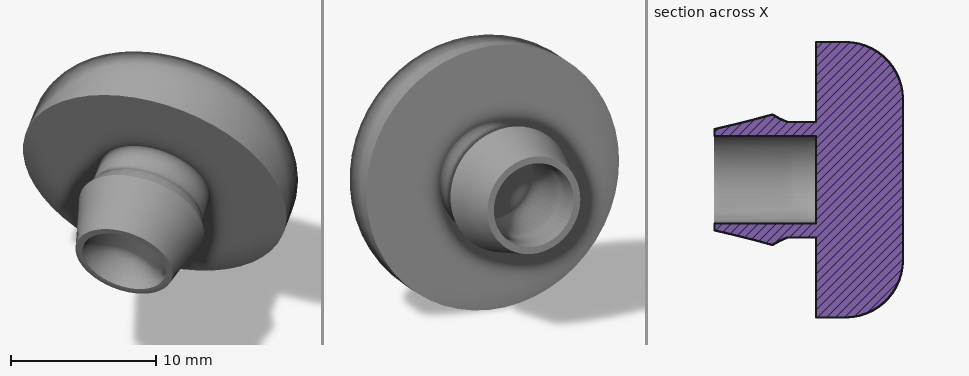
import cadquery as cq

head_diameter = 19.0
head_rim_height = 2.0
head_edge_radius = 4.0
neck_diameter = 8.0
neck_length = 2.0
barb_diameter = 9.0
barb_shoulder_length = 1.0
tip_diameter = 7.0
barb_taper_length = 3.99
bore_diameter = 6.0

head_radius = head_diameter / 2
head_height = head_rim_height + head_edge_radius
barb_y = -(neck_length + barb_shoulder_length)
tip_y = barb_y - barb_taper_length
bore_depth = -tip_y


def make_head():
    """Round head with a full-radius outer edge above a straight rim."""
    head = cq.Workplane("XZ").circle(head_radius).extrude(-head_height)
    return head.faces(">Y").edges().fillet(head_edge_radius)


def make_stem():
    """Neck, barb shoulder and tapered tip, revolved about the Y axis."""
    profile = (
        cq.Workplane("XY")
        .lineTo(neck_diameter / 2, 0)
        .lineTo(neck_diameter / 2, -neck_length)
        .lineTo(barb_diameter / 2, barb_y)
        .lineTo(tip_diameter / 2, tip_y)
        .lineTo(0, tip_y)
        .close()
    )
    return profile.revolve(360, (0, 0, 0), (0, 1, 0))


def make_bore():
    """Blind bore entering the stem from its tip."""
    tip_plane = cq.Workplane("XZ", origin=(0, tip_y, 0))
    return tip_plane.circle(bore_diameter / 2).extrude(-bore_depth)


result = make_head().union(make_stem()).cut(make_bore())